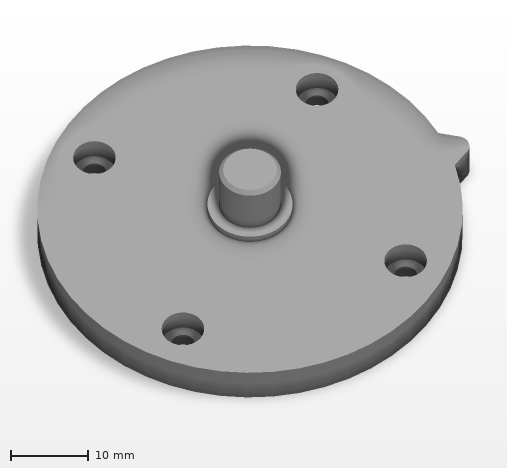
import cadquery as cq
import math

plate_radius = 27.5
plate_thickness = 5.0

pointer_tip_y = 30.4
pointer_tip_radius = 1.6
pointer_root_half_width = 2.9

collar_diameter = 11.0
collar_height = 1.05
pin_diameter = 8.0
pin_chamfer = 0.5
total_height = 13.0

hole_spacing = 31.0
hole_diameter = 3.0
counterbore_diameter = 5.5
counterbore_depth = 3.0


def make_pointer():
    """Pointer whose flanks are tangent to the arc of its tip."""
    root_y = math.sqrt(plate_radius**2 - pointer_root_half_width**2)
    arc_center_y = pointer_tip_y - pointer_tip_radius

    root_rise = root_y - arc_center_y
    root_distance = math.hypot(pointer_root_half_width, root_rise)
    root_angle = math.atan2(root_rise, pointer_root_half_width)
    normal_angle = root_angle + math.acos(pointer_tip_radius / root_distance)
    tangent_x = pointer_tip_radius * math.cos(normal_angle)
    tangent_y = arc_center_y + pointer_tip_radius * math.sin(normal_angle)

    return (
        cq.Workplane("XY")
        .moveTo(0, 0)
        .lineTo(pointer_root_half_width, root_y)
        .lineTo(tangent_x, tangent_y)
        .threePointArc((0, pointer_tip_y), (-tangent_x, tangent_y))
        .lineTo(-pointer_root_half_width, root_y)
        .close()
        .extrude(plate_thickness)
    )


def make_plate():
    """Round plate with its pointer and four counterbored holes."""
    disc = cq.Workplane("XY").circle(plate_radius).extrude(plate_thickness)
    return (
        disc.union(make_pointer())
        .faces(">Z")
        .workplane(origin=(0, 0, plate_thickness))
        .rect(hole_spacing, hole_spacing, forConstruction=True)
        .vertices()
        .cboreHole(hole_diameter, counterbore_diameter, counterbore_depth)
    )


def make_pin():
    """Collar and chamfered pin, rising from the top of the plate."""
    collar = (
        cq.Workplane("XY", origin=(0, 0, plate_thickness))
        .circle(collar_diameter / 2)
        .extrude(collar_height)
    )
    pin = (
        cq.Workplane("XY", origin=(0, 0, plate_thickness))
        .circle(pin_diameter / 2)
        .extrude(total_height - plate_thickness)
        .faces(">Z")
        .chamfer(pin_chamfer)
    )
    return collar.union(pin)


result = make_plate().union(make_pin())